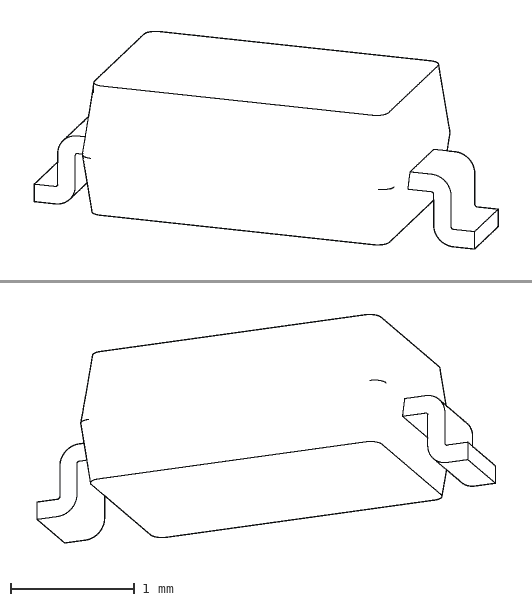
import cadquery as cq
import math

overall_length = 3.75
overall_height = 1.2

body_length = 2.65
body_width = 1.6
body_bottom = 0.1
parting_height = overall_height / 2
draft_angle = 7.0
corner_radius = 0.1

lead_width = 0.6
lead_thickness = 0.15
foot_length = 0.2
inner_bend_radius = 0.02
outer_bend_radius = inner_bend_radius + lead_thickness
lead_embed = 0.15


def body_half(height):
    """Tapered half standing on the parting plane; a negative height hangs it below."""
    inset = abs(height) * math.tan(math.radians(draft_angle))
    half = (
        cq.Workplane("XY", origin=(0, 0, parting_height))
        .rect(body_length, body_width)
        .workplane(offset=height)
        .rect(body_length - 2 * inset, body_width - 2 * inset)
        .loft(ruled=True)
    )
    corner_edges = half.edges("not(#Z)")
    return corner_edges.fillet(corner_radius)


def left_lead():
    """S-shaped strip: flat foot, vertical riser and arm entering the body."""
    tip_x = -overall_length / 2
    riser_outer_x = tip_x + foot_length
    riser_inner_x = riser_outer_x + lead_thickness
    arm_end_x = -body_length / 2 + lead_embed
    arm_top = parting_height
    arm_bottom = arm_top - lead_thickness

    upper_x = riser_inner_x + inner_bend_radius
    upper_z = arm_bottom - inner_bend_radius
    lower_x = riser_outer_x - inner_bend_radius
    lower_z = lead_thickness + inner_bend_radius

    return (
        cq.Workplane("XZ")
        .moveTo(tip_x, 0)
        .lineTo(lower_x, 0)
        .radiusArc((riser_inner_x, lower_z), -outer_bend_radius)
        .lineTo(riser_inner_x, upper_z)
        .radiusArc((upper_x, arm_bottom), inner_bend_radius)
        .lineTo(arm_end_x, arm_bottom)
        .lineTo(arm_end_x, arm_top)
        .lineTo(upper_x, arm_top)
        .radiusArc((riser_outer_x, upper_z), -outer_bend_radius)
        .lineTo(riser_outer_x, lower_z)
        .radiusArc((lower_x, lead_thickness), inner_bend_radius)
        .lineTo(tip_x, lead_thickness)
        .close()
        .extrude(lead_width / 2, both=True)
    )


upper_half = body_half(overall_height - parting_height)
lower_half = body_half(body_bottom - parting_height)
lead = left_lead()
result = upper_half.union(lower_half).union(lead).union(lead.mirror("YZ"))